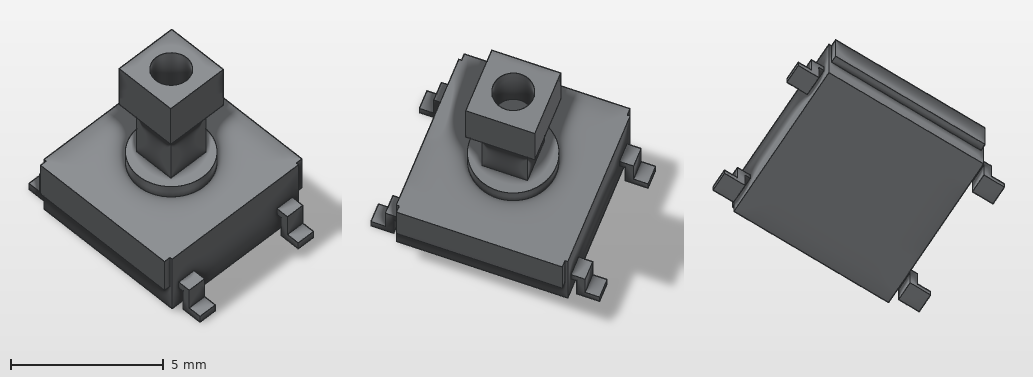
import cadquery as cq

overall_length = 8.0
overall_width = 6.3
overall_height = 7.3

body_length = 6.0
body_width = 5.8
body_bottom = 0.09
body_top = 2.59
cover_length = 5.8
cover_bottom = 1.14

collar_diameter = 3.0
collar_top = 3.11
stem_side = 1.6
cap_side = 2.42
cap_height = 1.8
cap_bottom = overall_height - cap_height
bore_diameter = 1.4
bore_depth = cap_height

lead_thickness = 0.3
lead_width = 0.7
lead_spacing = 4.5
lead_top = 1.19
foot_length = 0.8


def block(length, width, bottom, top):
    """Box centred on the Z axis between two heights."""
    return cq.Workplane("XY").workplane(offset=bottom).rect(length, width).extrude(top - bottom)


def make_housing():
    body = block(body_length, body_width, body_bottom, body_top)
    cover = block(cover_length, overall_width, cover_bottom, body_top)
    return body.union(cover)


def make_plunger():
    collar = (
        cq.Workplane("XY")
        .workplane(offset=body_top)
        .circle(collar_diameter / 2)
        .extrude(collar_top - body_top)
    )
    stem = block(stem_side, stem_side, collar_top, cap_bottom)
    cap = block(cap_side, cap_side, cap_bottom, overall_height)
    bore = (
        cq.Workplane("XY")
        .workplane(offset=overall_height)
        .circle(bore_diameter / 2)
        .extrude(-bore_depth)
    )
    return collar.union(stem).union(cap).cut(bore)


def make_lead(side, y_center):
    """Z-shaped lead leaving the housing on the given X side (+1 or -1)."""
    root = body_length / 2
    tip = overall_length / 2
    leg_inner = tip - foot_length
    leg_outer = leg_inner + lead_thickness
    outline = [
        (root, lead_top),
        (leg_outer, lead_top),
        (leg_outer, lead_thickness),
        (tip, lead_thickness),
        (tip, 0),
        (leg_inner, 0),
        (leg_inner, lead_top - lead_thickness),
        (root, lead_top - lead_thickness),
    ]
    return (
        cq.Workplane("XZ", origin=(0, y_center, 0))
        .polyline([(side * x, z) for x, z in outline])
        .close()
        .extrude(lead_width / 2, both=True)
    )


result = make_housing().union(make_plunger())
for x_side in (-1, 1):
    for y_side in (-1, 1):
        result = result.union(make_lead(x_side, y_side * lead_spacing / 2))